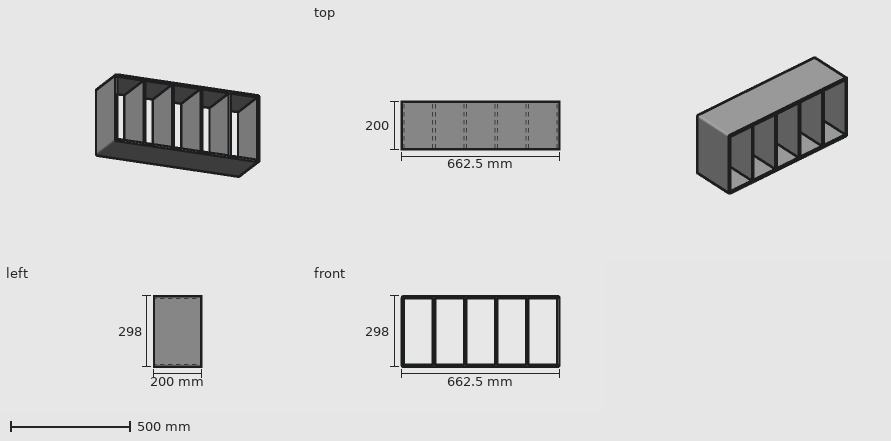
import cadquery as cq

width = 662.5
depth = 200.0
height = 298.0

wall = 10.5
corner_radius = wall
cell_count = 5

cell_width = (width - (cell_count + 1) * wall) / cell_count
cell_height = height - 2 * wall
cell_pitch = cell_width + wall


def outer_block():
    """Solid block with its four long corners rounded."""
    return cq.Workplane("XY").box(width, depth, height).edges("|Y").fillet(corner_radius)


def cell_openings():
    """Row of equal square-cornered openings running through the depth."""
    return (
        cq.Workplane("XZ")
        .rarray(cell_pitch, 6.5, cell_count, 1)
        .rect(cell_width, cell_height)
        .extrude(depth, both=True)
    )


result = outer_block().cut(cell_openings())